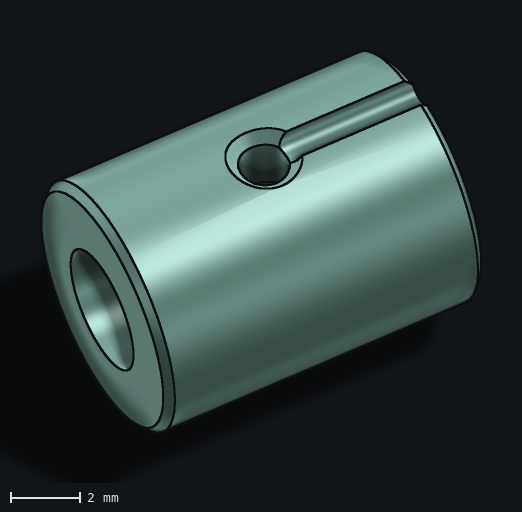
import cadquery as cq

outer_diameter = 7.9
bore_diameter = 3.8
length = 10.5
end_chamfer = 0.25

oil_hole_diameter = 1.5
oil_hole_chamfer = 0.37
oil_hole_from_back = 5.16

groove_width = 1.0

outer_radius = outer_diameter / 2
back_y = length / 2
oil_hole_y = back_y - oil_hole_from_back


def y_cylinder(diameter, start_y, cylinder_length, axis_z=0):
    """Solid cylinder along +Y from start_y, with its axis at height axis_z."""
    base = cq.Workplane("XZ", origin=(0, start_y, axis_z))
    return base.circle(diameter / 2).extrude(-cylinder_length)


def make_chamfered_body():
    """Outer cylinder, chamfered around both end faces."""
    body = y_cylinder(outer_diameter, -back_y, length)
    return body.faces("<Y or >Y").edges().chamfer(end_chamfer)


def cut_oil_hole(body):
    """Drill from the top down to mid-height and chamfer the mouth."""
    drill = cq.Workplane().center(0, oil_hole_y).circle(oil_hole_diameter / 2).extrude(outer_diameter)
    mouth_point = (0, oil_hole_y, outer_radius)
    drilled = body.cut(drill)
    return drilled.edges(cq.selectors.NearestToPointSelector(mouth_point)).chamfer(oil_hole_chamfer)


def cut_bore(body):
    """Open the bore from end to end."""
    return body.cut(y_cylinder(bore_diameter, -back_y, length))


def cut_groove(body):
    """Cut the groove, whose axis lies at the outer surface."""
    groove = y_cylinder(groove_width, oil_hole_y, oil_hole_from_back, outer_radius)
    return body.cut(groove)


result = cut_groove(cut_bore(cut_oil_hole(make_chamfered_body())))